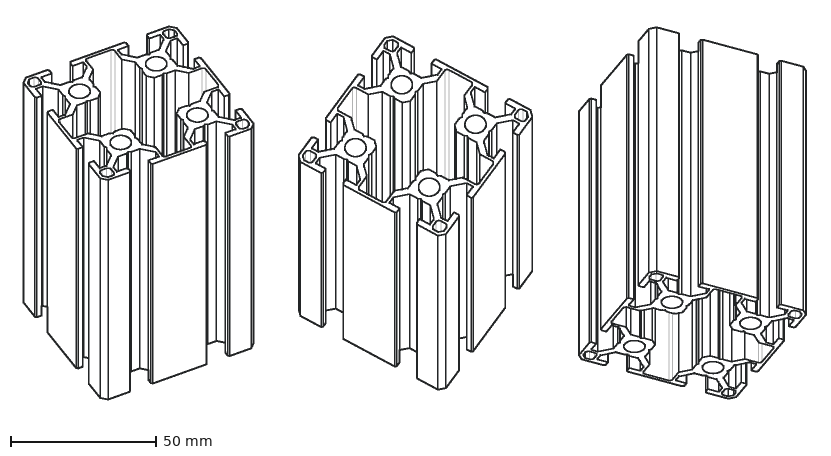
import cadquery as cq
import math

SIDE = 60.0
LENGTH = 101.6
CORNER_CHAMFER = 2.0
HALF = SIDE / 2
PITCH = SIDE / 2

SLOT_OPENING = 8.1
LIP_THICKNESS = 2.35
LIP_EDGE_CHAMFER = 0.5
SLOT_INNER_WIDTH = 16.5

CORE_WIDTH = 12.0
CORE_BORE = 7.3
CORE_CHAMFER = 2.0
NOTCH_DEPTH = 0.5
NOTCH_WIDTH = 1.8

SKIN = 1.3
SLOT_WALL = 1.2
WEB_THICKNESS = 2.5
CAVITY_CORNER_RADIUS = 1.0

CHANNEL_CORNER_CHAMFER = 1.4
CHANNEL_RADIUS = 1.2

CORE_CENTRE = PITCH / 2
CORE_INNER = CORE_CENTRE - CORE_WIDTH / 2
CORE_OUTER = CORE_CENTRE + CORE_WIDTH / 2
SLOT_NEAR = CORE_CENTRE - SLOT_INNER_WIDTH / 2
SLOT_FAR = CORE_CENTRE + SLOT_INNER_WIDTH / 2
WEB_OFFSET = WEB_THICKNESS / math.sqrt(2)
QUARTER_TURNS = (0, 90, 180, 270)


def rotated(solid, angle):
    """Turn a solid about the extrusion axis."""
    return solid.rotate((0, 0, 0), (0, 0, 1), angle)


def prism(points):
    """Full-length prism over a closed outline."""
    return cq.Workplane("XY").polyline(points).close().extrude(LENGTH)


def t_slot():
    """T-slot in the +Y side, over the core at +X."""
    opening = SLOT_OPENING / 2
    cavity = SLOT_INNER_WIDTH / 2
    lip_y = HALF - LIP_THICKNESS
    floor = CORE_WIDTH / 2 - WEB_OFFSET
    shoulder_y = CORE_OUTER + cavity - floor
    lip_start_y = HALF - LIP_EDGE_CHAMFER
    mouth = opening + LIP_EDGE_CHAMFER
    outline = (
        cq.Workplane("XY", origin=(CORE_CENTRE, 0, 0))
        .moveTo(-mouth, HALF)
        .lineTo(-opening, lip_start_y)
        .lineTo(-opening, lip_y)
        .lineTo(-cavity, lip_y)
        .lineTo(-cavity, shoulder_y)
        .lineTo(-floor, CORE_OUTER)
        .lineTo(floor, CORE_OUTER)
        .lineTo(cavity, shoulder_y)
        .lineTo(cavity, lip_y)
        .lineTo(opening, lip_y)
        .lineTo(opening, lip_start_y)
        .lineTo(mouth, HALF)
        .close()
    )
    return outline.extrude(LENGTH)


def cavity_arm():
    """Arm of the central cavity that reaches toward +Y, with rounded corners at its far end."""
    arm = SLOT_NEAR - SLOT_WALL
    top = HALF - SKIN
    web_start_y = CORE_OUTER - WEB_OFFSET
    web_end_y = web_start_y + CORE_INNER - arm
    arm_solid = prism([
        (-CORE_INNER, 0),
        (CORE_INNER, 0),
        (CORE_INNER, web_start_y),
        (arm, web_end_y),
        (arm, top),
        (-arm, top),
        (-arm, web_end_y),
        (-CORE_INNER, web_start_y),
    ])
    far_edges = arm_solid.faces(">Y").edges("|Z")
    return far_edges.fillet(CAVITY_CORNER_RADIUS)


def central_cavity():
    """Cross-shaped cavity, widened where the inner corners of the cores are chamfered."""
    diamond_reach = 2 * CORE_INNER + CORE_CHAMFER
    cavity = prism([
        (diamond_reach, 0),
        (0, diamond_reach),
        (-diamond_reach, 0),
        (0, -diamond_reach),
    ])
    arm = cavity_arm()
    for angle in QUARTER_TURNS:
        cavity = cavity.union(rotated(arm, angle))
    return cavity


def core_notches():
    """Shallow V-grooves along the middle of the four faces of the core at +X +Y."""
    half_core = CORE_WIDTH / 2
    notch = prism([
        (-NOTCH_WIDTH / 2, half_core),
        (0, half_core - NOTCH_DEPTH),
        (NOTCH_WIDTH / 2, half_core),
    ])
    notches = notch
    for angle in QUARTER_TURNS:
        notches = notches.union(rotated(notch, angle))
    return notches.translate((CORE_CENTRE, CORE_CENTRE, 0))


def core_bore():
    """Round bore through the core at +X +Y."""
    return cq.Workplane("XY").center(CORE_CENTRE, CORE_CENTRE).circle(CORE_BORE / 2).extrude(LENGTH)


def corner_channel():
    """Hollow in the +X +Y corner, chamfered on its outer edge and rounded on the others."""
    near = SLOT_FAR + SLOT_WALL
    far = HALF - SKIN
    middle = (near + far) / 2
    square = cq.Workplane("XY").center(middle, middle).rect(far - near, far - near).extrude(LENGTH)
    outer_edge = cq.selectors.NearestToPointSelector((far, far, LENGTH / 2))
    vertical_edges = cq.selectors.StringSyntaxSelector("|Z")
    rounded = square.edges(vertical_edges - outer_edge).fillet(CHANNEL_RADIUS)
    return rounded.edges(outer_edge).chamfer(CHANNEL_CORNER_CHAMFER)


def extrusion():
    """Square bar with the central cavity cut, then each quarter's slots, notches, bore and channel."""
    bar = cq.Workplane("XY").rect(SIDE, SIDE).extrude(LENGTH).edges("|Z").chamfer(CORNER_CHAMFER)
    bar = bar.cut(central_cavity())
    slot = t_slot()
    cutters = (slot, slot.mirror("YZ"), core_notches(), core_bore(), corner_channel())
    for angle in QUARTER_TURNS:
        for cutter in cutters:
            bar = bar.cut(rotated(cutter, angle))
    return bar


result = extrusion()